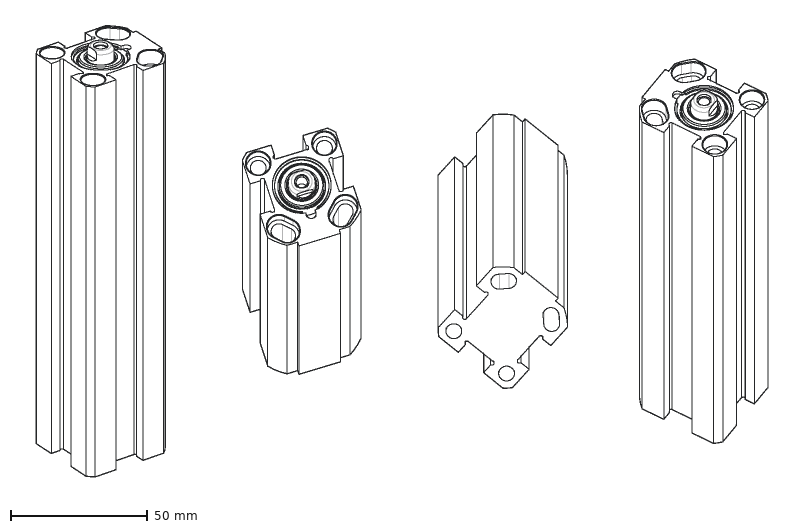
import cadquery as cq
import math

tube_length = 163.0
rod_projection = 4.5

half_width = 18.0
pad_face_y = 22.0
pad_half_width = 8.0
shoulder_y = 20.5
corner_radius = 23.8

slot_floor = 12.4
slot_half_width = 6.1
relief_radius = 0.8
relief_offset = 6.0

mount_offset = 12.75
mount_diameter = 5.8
mount_slot_shift = 2.5
counterbore_diameter = 8.8
counterbore_depth = 6.0
counterbore_chamfer = 0.3

bore_diameter = 20.0
end_wall = 8.0
mouth_diameter = 21.6
mouth_depth = 0.8
ring_seat_depth = 1.5
ring_groove_diameter = 22.8
ring_thickness = 1.0
ring_inner_diameter = 17.6
notch_width = 3.6
notch_end_y = 13.4
lip_gap_width = 5.6

collar_length = 14.0
boss_diameter = 16.5
boss_top_depth = 0.3
boss_chamfer = 0.5
seal_outer_diameter = 11.4
seal_mouth_chamfer = 0.5

seal_top_depth = 0.9
seal_height = 3.0
seal_lip_chamfer = 0.24

rod_diameter = 10.0
rod_end_fillet = 1.2
flat_width = 8.0
flat_runout_z = 1.0
thread_diameter = 4.13
thread_mouth_diameter = 5.25
thread_mouth_depth = 1.2
thread_depth = 10.0
drill_point_angle = 118.0

ring_bottom_depth = ring_seat_depth + ring_thickness
counterbore_mouth = counterbore_diameter + 2 * counterbore_chamfer
bore_floor_z = end_wall - tube_length
rod_radius = rod_diameter / 2


def cylinder(diameter, z_bottom, z_top):
    """A cylinder on the Z axis between two heights."""
    return cq.Workplane("XY", origin=(0, 0, z_bottom)).circle(diameter / 2).extrude(z_top - z_bottom)


def tube_outline():
    """The extruded section, with corner arcs centred on the cylinder axis and no slots yet."""
    bottom_x = math.sqrt(corner_radius**2 - half_width**2)
    shoulder_x = math.sqrt(corner_radius**2 - shoulder_y**2)
    side_y = bottom_x
    arc_xy = corner_radius / math.sqrt(2)
    top_angle = (math.atan2(side_y, half_width) + math.atan2(shoulder_y, shoulder_x)) / 2
    top_arc_x = corner_radius * math.cos(top_angle)
    top_arc_y = corner_radius * math.sin(top_angle)
    return (
        cq.Workplane("XY")
        .moveTo(-bottom_x, -half_width)
        .lineTo(bottom_x, -half_width)
        .threePointArc((arc_xy, -arc_xy), (half_width, -side_y))
        .lineTo(half_width, side_y)
        .threePointArc((top_arc_x, top_arc_y), (shoulder_x, shoulder_y))
        .lineTo(pad_half_width, shoulder_y)
        .lineTo(pad_half_width, pad_face_y)
        .lineTo(-pad_half_width, pad_face_y)
        .lineTo(-pad_half_width, shoulder_y)
        .lineTo(-shoulder_x, shoulder_y)
        .threePointArc((-top_arc_x, top_arc_y), (-half_width, side_y))
        .lineTo(-half_width, -side_y)
        .threePointArc((-arc_xy, -arc_xy), (-bottom_x, -half_width))
        .close()
        .extrude(-tube_length)
    )


def sensor_slot():
    """The cutter for the +X slot, with a round relief in each floor corner."""
    slot_depth = half_width - slot_floor
    channel = (
        cq.Workplane("XY")
        .center(slot_floor + slot_depth / 2, 0)
        .rect(slot_depth, 2 * slot_half_width)
        .extrude(-tube_length)
    )
    reliefs = (
        cq.Workplane("XY")
        .pushPoints([(slot_floor + relief_radius, side * relief_offset) for side in (-1, 1)])
        .circle(relief_radius)
        .extrude(-tube_length)
    )
    return channel.union(reliefs)


def round_mount(side, diameter, depth, taper=0):
    """Cutter for a round mounting hole on the -Y side; side is -1 or 1 along X."""
    return (
        cq.Workplane("XY", origin=(side * mount_offset, -mount_offset, 0))
        .circle(diameter / 2)
        .extrude(-depth, taper=taper)
    )


def slotted_mount(side, diameter, depth, taper=0):
    """Cutter for a diagonal mounting slot on the +Y side; side is -1 or 1 along X."""
    slot_length = mount_slot_shift * math.sqrt(2) + diameter
    center = mount_offset - mount_slot_shift / 2
    return (
        cq.Workplane("XY", origin=(side * center, mount_offset + mount_slot_shift / 2, 0))
        .slot2D(slot_length, diameter, -45 * side)
        .extrude(-depth, taper=taper)
    )


def ring_notch():
    """The round-ended notch that opens the mouth towards +Y for prying out the ring."""
    end_center_y = notch_end_y - notch_width / 2
    block = (
        cq.Workplane("XY")
        .center(0, end_center_y / 2)
        .rect(notch_width, end_center_y)
        .extrude(-ring_seat_depth)
    )
    round_end = (
        cq.Workplane("XY")
        .center(0, end_center_y)
        .circle(notch_width / 2)
        .extrude(-ring_seat_depth)
    )
    return block.union(round_end)


def lip_gap():
    """The break in the lip over the ring groove, down to the top of the ring and bounded by the mouth."""
    gap = (
        cq.Workplane("XY")
        .center(0, mouth_diameter / 4)
        .rect(lip_gap_width, mouth_diameter / 2)
        .extrude(-ring_seat_depth)
    )
    return gap.intersect(cylinder(mouth_diameter, -ring_seat_depth, 0))


def make_tube():
    tube = tube_outline()
    for angle in (0, 180, 270):
        tube = tube.cut(sensor_slot().rotate((0, 0, 0), (0, 0, 1), angle))
    for mount in (round_mount, slotted_mount):
        for side in (-1, 1):
            tube = tube.cut(mount(side, mount_diameter, tube_length))
            tube = tube.cut(mount(side, counterbore_diameter, counterbore_depth))
            tube = tube.cut(mount(side, counterbore_mouth, counterbore_chamfer, taper=45))
    tube = tube.cut(cylinder(bore_diameter, bore_floor_z, 0))
    tube = tube.cut(cylinder(mouth_diameter, -mouth_depth, 0))
    tube = tube.cut(cylinder(ring_groove_diameter, -ring_bottom_depth, -ring_seat_depth))
    tube = tube.cut(ring_notch())
    return tube.cut(lip_gap())


def make_retaining_ring():
    ring = cylinder(ring_groove_diameter, -ring_bottom_depth, -ring_seat_depth)
    return ring.cut(cylinder(ring_inner_diameter, -ring_bottom_depth, -ring_seat_depth))


def make_rod_cover():
    """The guide of the rod: a full-bore plug under the ring and a boss inside the ring."""
    collar_bottom_z = -ring_bottom_depth - collar_length
    boss = cylinder(boss_diameter, -ring_bottom_depth, -boss_top_depth)
    boss = boss.faces(">Z").edges().chamfer(boss_chamfer)
    cover = cylinder(bore_diameter, collar_bottom_z, -ring_bottom_depth).union(boss)
    cover = cover.cut(cylinder(rod_diameter, collar_bottom_z, -boss_top_depth))
    seal_pocket = cylinder(seal_outer_diameter, -seal_top_depth - seal_height, -boss_top_depth)
    cover = cover.cut(seal_pocket)
    return cover.faces(">Z").edges(cq.selectors.RadiusNthSelector(0)).chamfer(seal_mouth_chamfer)


def make_rod_seal():
    seal_bottom_z = -seal_top_depth - seal_height
    seal = cylinder(seal_outer_diameter, seal_bottom_z, -seal_top_depth)
    seal = seal.cut(cylinder(rod_diameter, seal_bottom_z, -seal_top_depth))
    return seal.faces(">Z").edges(cq.selectors.RadiusNthSelector(0)).chamfer(seal_lip_chamfer)


def wrench_flat(side):
    """Cutter for one wrench flat with a 45 degree run-out; side is -1 or 1 along Y."""
    flat_y = flat_width / 2
    runout = rod_radius - flat_y
    return (
        cq.Workplane("YZ")
        .polyline(
            [
                (side * flat_y, rod_projection),
                (side * flat_y, flat_runout_z),
                (side * rod_radius, flat_runout_z - runout),
                (side * rod_radius, rod_projection),
            ]
        )
        .close()
        .extrude(rod_radius, both=True)
    )


def threaded_hole():
    """Cutter for the female thread: straight mouth, minor diameter and drill point."""
    hole_radius = thread_diameter / 2
    mouth_radius = thread_mouth_diameter / 2
    bottom_z = rod_projection - thread_depth
    point_height = hole_radius / math.tan(math.radians(drill_point_angle / 2))
    return (
        cq.Workplane("XZ")
        .polyline(
            [
                (0, rod_projection),
                (mouth_radius, rod_projection),
                (mouth_radius, rod_projection - thread_mouth_depth),
                (hole_radius, rod_projection - thread_mouth_depth),
                (hole_radius, bottom_z),
                (0, bottom_z - point_height),
            ]
        )
        .close()
        .revolve(360, (0, 0, 0), (0, 1, 0))
    )


def make_rod():
    rod = cylinder(rod_diameter, bore_floor_z, rod_projection)
    rod = rod.faces(">Z").edges().fillet(rod_end_fillet)
    for side in (-1, 1):
        rod = rod.cut(wrench_flat(side))
    return rod.cut(threaded_hole())


tube = make_tube()
retaining_ring = make_retaining_ring()
rod_cover = make_rod_cover()
rod_seal = make_rod_seal()
rod = make_rod()

bodies = (tube, retaining_ring, rod_cover, rod_seal, rod)
result = cq.Compound.makeCompound([body.val() for body in bodies])